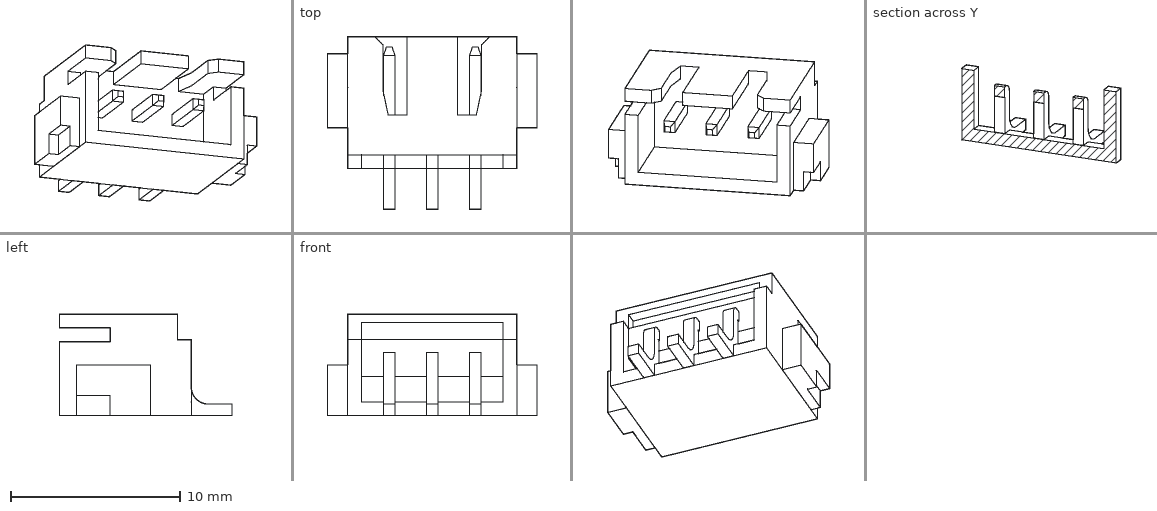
import cadquery as cq


total_width = 12.4
total_length = 10.2

housing_width = 10.0
housing_length = 7.8
housing_height = 6.0
wall = 0.8

cavity_depth = 4.63
cavity_front_y = housing_length - cavity_depth
cavity_width = housing_width - 2 * wall
cavity_top_z = housing_height - wall

step_depth = wall
step_z = 4.5
window_top_z = 5.5
window_depth = 1.5
recess_top_z = 2.32
recess_depth = 2.0

tongue_width = 3.0
roof_slot_outer_x = 2.9
roof_slot_front_x = 2.6
roof_slot_taper_length = 1.38
roof_slot_chamfer = 0.5
side_slot_length = 3.0
side_slot_height = 0.82

contact_count = 3
contact_pitch = 2.54
contact_size = 0.68
contact_foot_z = 0.01
contact_top_z = 3.75
contact_foot_end_y = housing_length - total_length
contact_upper_radius = 0.5
contact_foot_radius = 1.0
contact_tip_setback = 0.62
contact_tip_length = 0.5
contact_tip_size = contact_size / 2

tab_width = (total_width - housing_width) / 2
tab_length = 4.39
tab_height = 3.0
tab_rear_setback = 1.0
tab_notch_depth = tab_width / 2
tab_notch_length = 2.0
tab_notch_height = 1.2


def block(x_limits, y_limits, z_limits):
    """Box between the given limits along each axis."""
    corner, size = zip(*((low, high - low) for low, high in (x_limits, y_limits, z_limits)))
    return cq.Workplane("XY").box(*size, centered=False).translate(corner)


def centred_block(width, y_limits, z_limits):
    """Box of the given width, centred on X = 0."""
    return block((-width / 2, width / 2), y_limits, z_limits)


def make_roof_slot():
    """Tapered slot through the roof, on the +X side of the central tongue."""
    outline = [
        (tongue_width / 2, housing_length),
        (tongue_width / 2, cavity_front_y),
        (roof_slot_front_x, cavity_front_y),
        (roof_slot_outer_x, cavity_front_y + roof_slot_taper_length),
        (roof_slot_outer_x, housing_length - roof_slot_chamfer),
        (roof_slot_outer_x + roof_slot_chamfer, housing_length),
    ]
    return cq.Workplane("XY", origin=(0, 0, cavity_top_z)).polyline(outline).close().extrude(wall)


def make_shell():
    """Housing shell with its mating cavity, solder-side recesses and slots."""
    cavity = centred_block(cavity_width, (cavity_front_y, housing_length), (wall, cavity_top_z))
    step = centred_block(housing_width, (0, step_depth), (step_z, housing_height))
    front_opening = centred_block(cavity_width, (0, step_depth), (wall, step_z))
    window = centred_block(cavity_width, (0, window_depth), (step_z, window_top_z))
    recess = centred_block(cavity_width, (0, recess_depth), (wall, recess_top_z))
    side_slots = centred_block(
        housing_width,
        (housing_length - side_slot_length, housing_length),
        (cavity_top_z - side_slot_height, cavity_top_z),
    )
    roof_slot = make_roof_slot()
    mirrored_roof_slot = roof_slot.mirror("YZ")

    shell = centred_block(housing_width, (0, housing_length), (0, housing_height))
    for cut in (cavity, step, front_opening, window, recess, side_slots, roof_slot, mirrored_roof_slot):
        shell = shell.cut(cut)
    return shell


def make_contact(x):
    """Square contact at the given X: solder foot, upright leg and mating pin with a tapered tip."""
    foot_top_z = contact_foot_z + contact_size
    pin_bottom_z = contact_top_z - contact_size
    pin_axis_z = contact_top_z - contact_size / 2
    pin_end_y = housing_length - contact_tip_setback - contact_tip_length
    bent_bar = (
        cq.Workplane("YZ")
        .moveTo(contact_foot_end_y, contact_foot_z)
        .lineTo(contact_size, contact_foot_z)
        .lineTo(contact_size, pin_bottom_z)
        .lineTo(pin_end_y, pin_bottom_z)
        .lineTo(pin_end_y, contact_top_z)
        .lineTo(contact_upper_radius, contact_top_z)
        .radiusArc((0, contact_top_z - contact_upper_radius), -contact_upper_radius)
        .lineTo(0, foot_top_z + contact_foot_radius)
        .radiusArc((-contact_foot_radius, foot_top_z), contact_foot_radius)
        .lineTo(contact_foot_end_y, foot_top_z)
        .close()
        .extrude(contact_size / 2, both=True)
    )
    tip = (
        cq.Workplane("XZ", origin=(0, pin_end_y, pin_axis_z))
        .rect(contact_size, contact_size)
        .workplane(offset=-contact_tip_length)
        .rect(contact_tip_size, contact_tip_size)
        .loft(ruled=True)
    )
    return bent_bar.union(tip).translate((x, 0, 0))


def make_housing():
    """Housing shell joined with its row of contacts."""
    first_contact_x = -contact_pitch * (contact_count - 1) / 2
    body = make_shell()
    for index in range(contact_count):
        body = body.union(make_contact(first_contact_x + index * contact_pitch))
    return body


def make_tab(on_right):
    """Side tab, notched at its lower rear outer corner."""
    outer_x = -total_width / 2
    rear_y = housing_length - tab_rear_setback
    left_tab = block((outer_x, outer_x + tab_width), (rear_y - tab_length, rear_y), (0, tab_height))
    notch = block(
        (outer_x, outer_x + tab_notch_depth),
        (rear_y - tab_notch_length, rear_y),
        (0, tab_notch_height),
    )
    left_tab = left_tab.cut(notch)
    return left_tab.mirror("YZ") if on_right else left_tab


housing = make_housing()
tabs = [make_tab(on_right) for on_right in (False, True)]

result = cq.Compound.makeCompound([housing.solids().val(), *(tab.solids().val() for tab in tabs)])